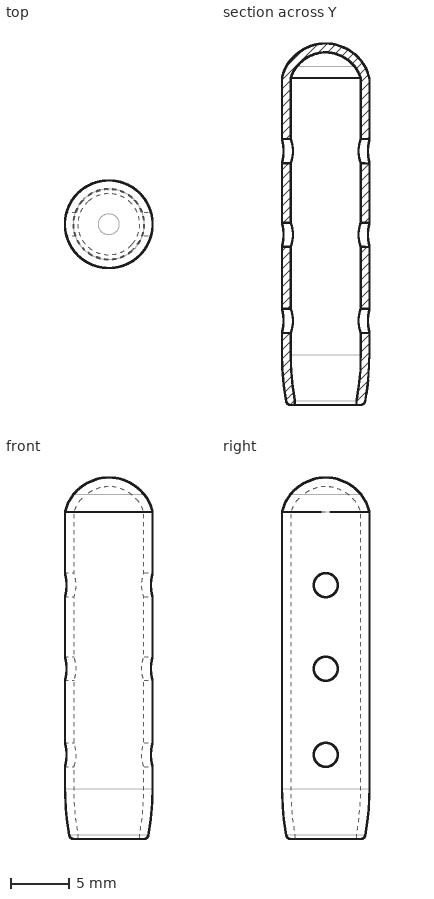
import cadquery as cq
import math

length = 31.13
outer_radius = 3.782

cap_radius = 0.9
cap_z = length - 0.1
crown_mid_radius = 2.05
crown_mid_z = length - 0.6
crown_radius = 3.05
crown_z = length - 1.45
shoulder_z = length - 3.0
cap_mid_radius = cap_radius / 2
cap_mid_z = length - (length - cap_z) / 4

taper_z = 4.3
taper_mid_radius = 3.67
taper_mid_z = taper_z / 2
rim_radius = 3.42
rim_z = 0.37
mouth_radius = 3.08

wall = 0.78
bore_radius = outer_radius - wall
crown_mid_angle = math.radians(30)
crown_angle = math.radians(45)

hole_diameter = 2.05
hole_heights = (7.25, 14.65, 21.85)


def make_body():
    """Revolve half of the outer outline around Z."""
    outline = (
        cq.Workplane("XZ")
        .moveTo(0, 0)
        .lineTo(0, length)
        .threePointArc((cap_mid_radius, cap_mid_z), (cap_radius, cap_z))
        .threePointArc((crown_mid_radius, crown_mid_z), (crown_radius, crown_z))
        .tangentArcPoint((outer_radius, shoulder_z), relative=False)
        .lineTo(outer_radius, taper_z)
        .threePointArc((taper_mid_radius, taper_mid_z), (rim_radius, rim_z))
        .tangentArcPoint((mouth_radius, 0), relative=False)
        .close()
    )
    return outline.revolve(360, (0, 0, 0), (0, 1, 0))


def inset(radius, z, angle):
    """Move an outline point inward by the wall, at an angle from the Z axis."""
    return (radius - wall * math.sin(angle), z - wall * math.cos(angle))


def make_bore():
    """Blind bore with a domed top and a tapered mouth, open at the bottom."""
    outline = (
        cq.Workplane("XZ")
        .moveTo(0, 0)
        .lineTo(0, length - wall)
        .threePointArc(
            inset(crown_mid_radius, crown_mid_z, crown_mid_angle),
            inset(crown_radius, crown_z, crown_angle),
        )
        .tangentArcPoint((bore_radius, shoulder_z), relative=False)
        .lineTo(bore_radius, taper_z)
        .threePointArc((taper_mid_radius - wall, taper_mid_z), (rim_radius - wall, rim_z))
        .lineTo(rim_radius - wall, 0)
        .close()
    )
    return outline.revolve(360, (0, 0, 0), (0, 1, 0))


def make_cross_holes():
    """Row of round holes along X, through both walls."""
    centers = [(0, z) for z in hole_heights]
    return (
        cq.Workplane("YZ")
        .pushPoints(centers)
        .circle(hole_diameter / 2)
        .extrude(outer_radius, both=True)
    )


result = make_body().cut(make_bore()).cut(make_cross_holes())